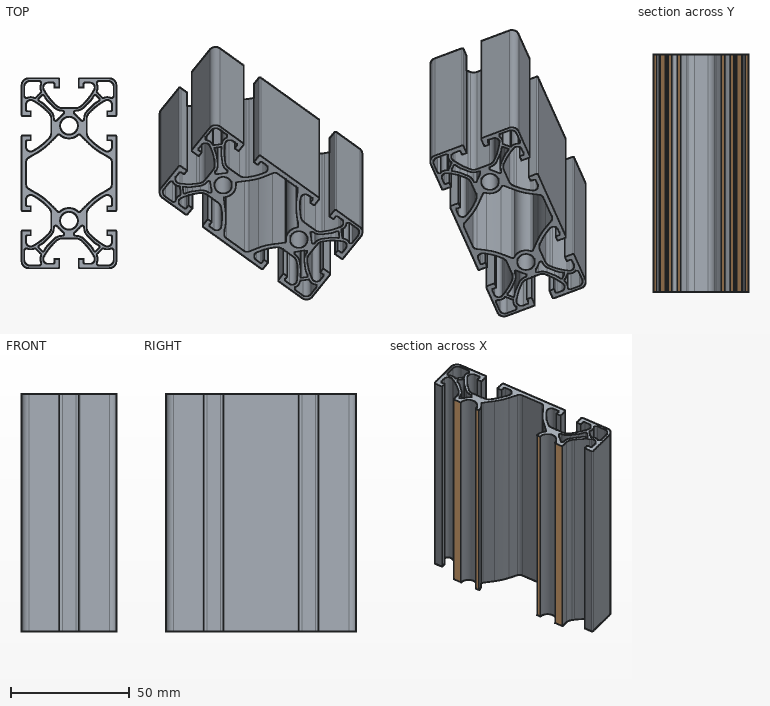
import cadquery as cq
import math

width = 40.0
height = 80.0
length = 100.0
corner_radius = 3.0

half_cell = width / 2
bore_diameter = 7.4
boss_radius = 5.4

slot_opening = 8.1
lip_length = 4.0
lip_width = 2.1
lip_edge_radius = 0.5
lip_root_radius = 0.5
slot_wall = 1.9
core_half = 7.5
floor_corner_side = 4.4
floor_corner_radius = 3.7
flank_bend_radius = 24.0
slot_corner_radius = 2.0
slot_corner_side = 8.8
flare_angle = math.radians(30)

chamber_web = 1.6
chamber_wall = 2.0
chamber_corner_radius = 2.0
chamber_root_radius = 0.8

slit_web = 1.2
slit_end_sum = 24.1
slit_end_radius = 0.5
slit_root_sum = 7.4
slit_tip_radius = 0.7
slit_bend_radius = 8.0

hollow_wall = 1.2
hollow_inner = 11.7
hollow_slot_wall = 1.3
hollow_diagonal_sum = 25.8
hollow_outer_radius = 2.4
hollow_inner_radius = 0.9

lip_side = slot_opening / 2
lip_root_side = lip_side + lip_width
lip_tip_depth = half_cell - lip_length
slot_wall_depth = half_cell - slot_wall
slot_corner_depth = slot_wall_depth - slot_corner_radius
slot_wall_side = slot_corner_side + slot_corner_radius * math.tan(math.pi / 4 + flare_angle / 2)
flare_slope = math.tan(flare_angle)


def flank_lines(web):
    """Intercepts of the 45 degree flank and its outer flare, both shifted off the slot by web.

    The flank is side = depth + flank_start and the flare is side = flare_slope * depth + flare_start.
    """
    flank_start = floor_corner_side - core_half + web * math.sqrt(2)
    flare_start = slot_wall_side - flare_slope * slot_wall_depth + web / math.cos(flare_angle)
    return flank_start, flare_start


def flank_bend(web):
    """Depth and side where the shifted flank meets its flare."""
    flank_start, flare_start = flank_lines(web)
    depth = (flare_start - flank_start) / (1 - flare_slope)
    return depth, depth + flank_start


def rounded_prism(corners):
    """Prism over a closed polygon of (x, y, radius) corners, each rounded by a tangent arc."""
    points = [cq.Vector(x, y) for x, y, radius in corners]
    arcs = []
    for i, (x, y, radius) in enumerate(corners):
        to_last = (points[i - 1] - points[i]).normalized()
        to_next = (points[(i + 1) % len(points)] - points[i]).normalized()
        half_angle = to_last.getAngle(to_next) / 2
        setback = radius / math.tan(half_angle)
        bisector = (to_last + to_next).normalized()
        start = points[i] + to_last * setback
        middle = points[i] + bisector * (radius / math.sin(half_angle) - radius)
        end = points[i] + to_next * setback
        arcs.append((start, middle, end, radius))

    first_end = arcs[0][2]
    outline = cq.Workplane("XY").moveTo(first_end.x, first_end.y)
    for start, middle, end, radius in arcs[1:] + arcs[:1]:
        outline = outline.lineTo(start.x, start.y)
        if radius > 0:
            outline = outline.threePointArc((middle.x, middle.y), (end.x, end.y))
    return outline.close().extrude(length)


def cylinder(x, y, radius):
    return cq.Workplane("XY").center(x, y).circle(radius).extrude(length)


def t_slot():
    """T-slot of a cell centred on the origin, opening toward +X."""
    outside = half_cell + 1
    upper = [
        (core_half, floor_corner_side, floor_corner_radius),
        (*flank_bend(0), flank_bend_radius),
        (slot_wall_depth, slot_wall_side, slot_corner_radius),
        (slot_wall_depth, lip_root_side, lip_root_radius),
        (lip_tip_depth, lip_root_side, 0),
        (lip_tip_depth, lip_side, 0),
        (half_cell, lip_side, lip_edge_radius),
        (half_cell, lip_root_side, 0),
        (outside, lip_root_side, 0),
    ]
    lower = [(x, -y, radius) for x, y, radius in reversed(upper)]
    return rounded_prism(upper + lower)


def diagonal_slit():
    """Narrow hollow along the +X+Y diagonal, between two slots, square-ended at the bore."""
    flank_start, flare_start = flank_lines(slit_web)
    floor = core_half - slit_web
    end_depth = (slit_end_sum - flare_start) / (1 + flare_slope)
    lower = [
        (floor, slit_root_sum - floor, slit_tip_radius),
        (floor, floor + flank_start, floor_corner_radius + slit_web),
        (*flank_bend(slit_web), slit_bend_radius),
        (end_depth, slit_end_sum - end_depth, slit_end_radius),
    ]
    upper = [(y, x, radius) for x, y, radius in reversed(lower)]
    return rounded_prism(lower + upper)


def corner_hollow():
    """Hollow in the +X+Y corner, scalloped around the rounded ends of both slots."""
    outer = half_cell - hollow_wall
    diagonal_end = hollow_diagonal_sum - hollow_inner
    hollow = rounded_prism([
        (outer, hollow_inner, hollow_inner_radius),
        (outer, outer, hollow_outer_radius),
        (hollow_inner, outer, hollow_inner_radius),
        (hollow_inner, diagonal_end, 0),
        (diagonal_end, hollow_inner, 0),
    ])
    scallop_radius = slot_corner_radius + hollow_slot_wall
    hollow = hollow.cut(cylinder(slot_corner_depth, slot_corner_side, scallop_radius))
    hollow = hollow.cut(cylinder(slot_corner_side, slot_corner_depth, scallop_radius))
    return hollow


def centre_chamber():
    """Large hollow between the two bores, bounded by the slot flanks and the bore bosses."""
    flank_start, flare_start = flank_lines(chamber_web)
    wall_x = half_cell - chamber_wall
    wall_side = flare_slope * wall_x + flare_start
    bend_x, bend_side = flank_bend(chamber_web)
    root_sum = math.sqrt(2 * boss_radius**2 - flank_start**2)
    root_x = (root_sum - flank_start) / 2
    lower = [
        (wall_x, wall_side - half_cell, chamber_corner_radius),
        (bend_x, bend_side - half_cell, flank_bend_radius),
        (root_x, root_x + flank_start - half_cell, 0),
    ]
    right = lower[::-1] + [(x, -y, radius) for x, y, radius in lower]
    left = [(-x, -y, radius) for x, y, radius in right]
    chamber = rounded_prism(right + left)
    for bore_y in (-half_cell, half_cell):
        chamber = chamber.cut(cylinder(0, bore_y, boss_radius))
    return chamber.edges("(|Z) and (>Y or <Y)").fillet(chamber_root_radius)


result = cq.Workplane("XY").rect(width, height).extrude(length).edges("|Z").fillet(corner_radius)
result = result.cut(centre_chamber())

cell_cuts = [cylinder(0, 0, bore_diameter / 2)]
for angle in (0, 90, 180):
    cell_cuts.append(t_slot().rotate((0, 0, 0), (0, 0, 1), angle))
for angle in (0, 90):
    cell_cuts.append(diagonal_slit().rotate((0, 0, 0), (0, 0, 1), angle))
    cell_cuts.append(corner_hollow().rotate((0, 0, 0), (0, 0, 1), angle))

for cell_cut in cell_cuts:
    upper_cut = cell_cut.translate((0, half_cell, 0))
    result = result.cut(upper_cut)
    result = result.cut(upper_cut.rotate((0, 0, 0), (0, 0, 1), 180))